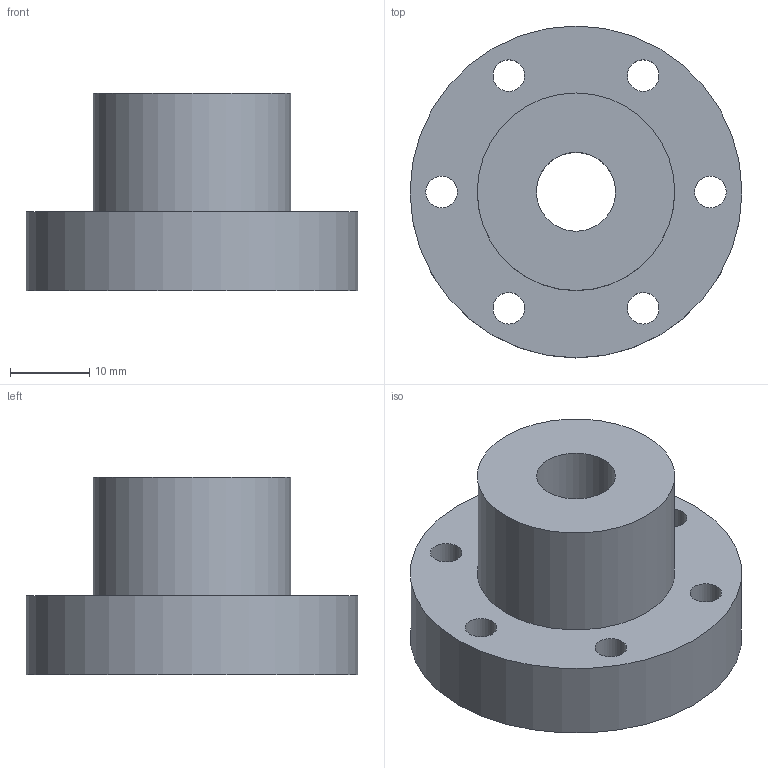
import cadquery as cq

flange_diameter = 42.0
flange_thickness = 10.0

hub_diameter = 25.0
hub_height = 15.0

bore_diameter = 10.0

mounting_hole_diameter = 4.0
mounting_hole_count = 6
bolt_circle_diameter = 34.0
first_hole_angle = 0.0
full_turn = 360.0


def make_body():
    """Round flange on the XY plane with a concentric hub on top."""
    flange = cq.Workplane("XY").circle(flange_diameter / 2).extrude(flange_thickness)
    return flange.faces(">Z").workplane().circle(hub_diameter / 2).extrude(hub_height)


def make_bore():
    """Cylinder that removes the central through bore."""
    total_height = flange_thickness + hub_height
    return cq.Workplane("XY").circle(bore_diameter / 2).extrude(total_height)


def make_mounting_holes():
    """Evenly spaced cylinders that remove the flange mounting holes."""
    return (
        cq.Workplane("XY")
        .polarArray(bolt_circle_diameter / 2, first_hole_angle, full_turn, mounting_hole_count)
        .circle(mounting_hole_diameter / 2)
        .extrude(flange_thickness)
    )


result = make_body().cut(make_bore()).cut(make_mounting_holes())